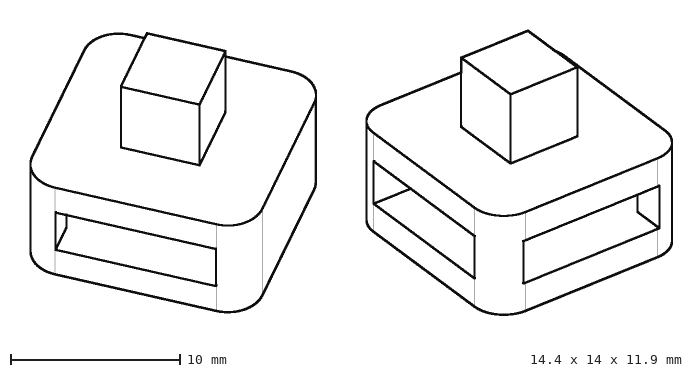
import cadquery as cq

length = 14.35
width = 14.0
total_height = 11.9
block_height = 7.0
corner_radius = 2.15

post_side = 4.91
post_height = total_height - block_height

chamber_side = 10.0
chamber_height = 3.0
chamber_floor = (block_height - chamber_height) / 2


def make_block():
    block = cq.Workplane("XY").box(length, width, block_height, centered=(True, True, False))
    return block.edges("|Z").fillet(corner_radius)


def make_post():
    post = cq.Workplane("XY").box(post_side, post_side, post_height, centered=(True, True, False))
    return post.translate((0, 0, block_height))


def make_through_slot():
    """Slot running the whole way along Y."""
    slot = cq.Workplane("XY").box(chamber_side, width, chamber_height, centered=(True, True, False))
    return slot.translate((0, 0, chamber_floor))


def make_side_opening():
    """Opening from the -X face to the far wall of the slot, leaving the +X wall closed."""
    depth = (length + chamber_side) / 2
    opening = cq.Workplane("XY").box(depth, chamber_side, chamber_height, centered=(False, True, False))
    return opening.translate((-length / 2, 0, chamber_floor))


result = make_block().cut(make_through_slot()).cut(make_side_opening()).union(make_post())